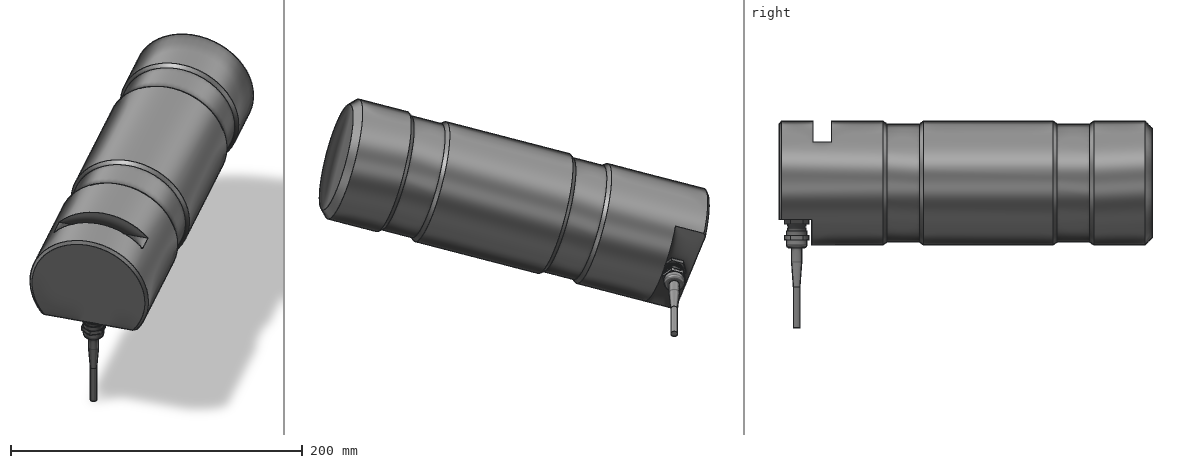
import cadquery as cq
import math

pin_length = 256.0
pin_radius = 85.0 / 2
relief_radius = 81.0 / 2
relief_step = pin_radius - relief_radius
front_chamfer = 1.8
back_chamfer = 5.0

groove_starts = (71.2, 188.0)
groove_length = 28.0
groove_taper = 2.8

slot_start = 23.3
slot_width = 12.5
slot_depth = 14.3

flat_length = 22.3
flat_z = -25.0

gland_y = 12.0
hex_across_flats = 14.5
hex_across_corners = hex_across_flats / math.cos(math.pi / 6)
hex_height = 3.0
body_radius = 14.0 / 2
neck_radius = 12.5 / 2
waist_radius = 11.5 / 2
neck_end = 4.4
waist_end = 5.6
collar_start = 7.7
nut_hex_start = 10.8
dome_end = 19.5
dome_fillet = 2.3
sleeve_radius = 7.2 / 2
taper_start = 29.2
sleeve_end = 46.3

cable_radius = 4.5 / 2
overall_height = 141.8
cable_end = overall_height - pin_radius + flat_z


def make_groove(start):
    """Ring that cuts one relief groove with sloping sides."""
    end = start + groove_length
    return (
        cq.Workplane("XY")
        .moveTo(pin_radius, start)
        .lineTo(relief_radius, start + groove_taper)
        .lineTo(relief_radius, end - groove_taper)
        .lineTo(pin_radius, end)
        .lineTo(pin_radius + relief_step, end)
        .lineTo(pin_radius + relief_step, start)
        .close()
        .revolve(360, (0, 0, 0), (0, 1, 0))
    )


def make_pin():
    """Load pin with chamfered ends, relief grooves, keeper slot and gland flat."""
    pin = cq.Workplane("XZ").circle(pin_radius).extrude(-pin_length)
    pin = pin.faces("<Y").chamfer(front_chamfer, relief_step)
    pin = pin.faces(">Y").chamfer(back_chamfer)
    for start in groove_starts:
        pin = pin.cut(make_groove(start))

    slot = (
        cq.Workplane("XY", origin=(0, slot_start + slot_width / 2, pin_radius - slot_depth))
        .rect(2 * pin_radius, slot_width)
        .extrude(slot_depth)
    )
    flat_cut = (
        cq.Workplane("XY", origin=(0, flat_length / 2, flat_z))
        .rect(2 * pin_radius, flat_length)
        .extrude(-pin_radius)
    )
    return pin.cut(slot).cut(flat_cut)


def gland_plane(depth):
    """Horizontal workplane on the gland axis, a given depth below the flat."""
    return cq.Workplane("XY", origin=(0, gland_y, flat_z - depth))


def gland_cylinder(radius, top, bottom):
    """Round section of the gland between two depths."""
    return gland_plane(bottom).circle(radius).extrude(bottom - top)


def gland_hexagon(top):
    """Hexagonal section of the gland, with two corners pointing along Y."""
    return (
        gland_plane(top)
        .transformed(rotate=(0, 0, 90))
        .polygon(6, hex_across_corners)
        .extrude(-hex_height)
    )


def make_gland():
    """Cable gland: hexagon base, waisted neck, domed nut and tapered sleeve."""
    dome = gland_cylinder(body_radius, collar_start, dome_end).faces("<Z").edges().fillet(dome_fillet)
    taper = (
        gland_plane(taper_start)
        .circle(sleeve_radius)
        .workplane(offset=taper_start - sleeve_end)
        .circle(cable_radius)
        .loft(ruled=True)
    )
    return (
        gland_hexagon(0)
        .union(gland_cylinder(neck_radius, hex_height, neck_end))
        .union(gland_cylinder(waist_radius, neck_end, waist_end))
        .union(gland_cylinder(neck_radius, waist_end, collar_start))
        .union(dome)
        .union(gland_hexagon(nut_hex_start))
        .union(gland_cylinder(sleeve_radius, dome_end, taper_start))
        .union(taper)
    )


def make_cable():
    """Straight cable butting against the end of the gland sleeve."""
    return gland_cylinder(cable_radius, sleeve_end, cable_end)


pin = make_pin()
gland = make_gland()
cable = make_cable()

result = cq.Compound.makeCompound([pin.val(), gland.val(), cable.val()])